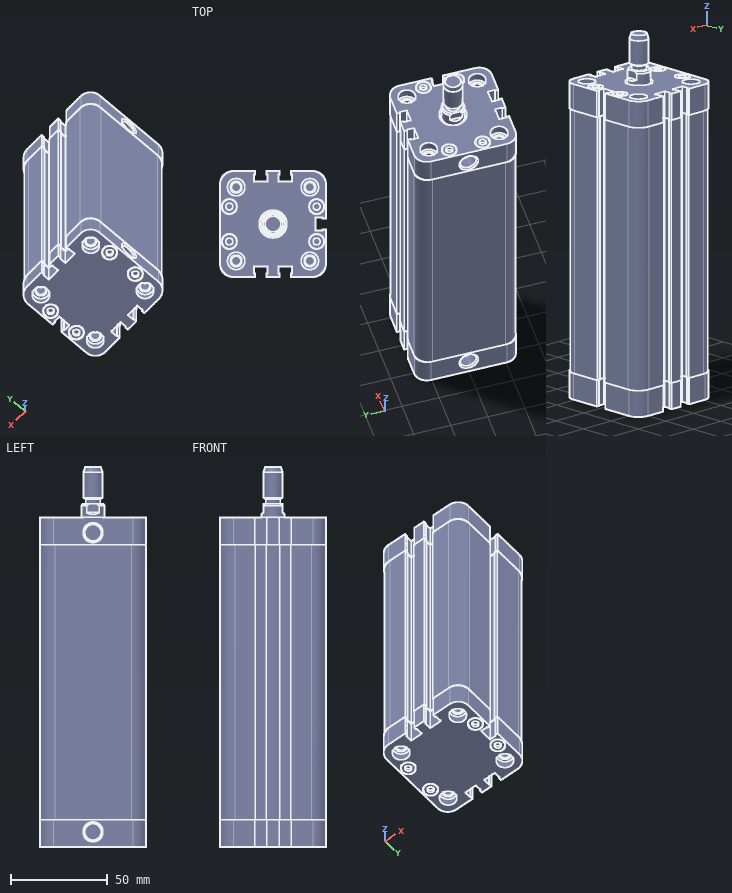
import cadquery as cq


width = 54.8
body_length = 170.0
rod_projection = 26.0
cap_height = 14.2
barrel_length = body_length - 2 * cap_height
barrel_corner_radius = 7.7
cap_corner_radius = 6.9

slot_spacing = 12.7
slot_opening = 5.6
slot_inner_width = 6.6
slot_lip = 2.0
slot_depth = 5.3
cap_slot_clearance = 0.25

mount_pitch = 38.0
mount_counterbore_diameter = 9.0
mount_counterbore_depth = 5.0
mount_hole_diameter = 4.92
mount_chamfer_diameter = 6.0

screw_x = 22.5
screw_y = 9.0
screw_head_diameter = 7.5
screw_recess_diameter = 7.9
screw_groove_depth = 1.0
screw_socket_diameter = 3.6
screw_socket_depth = 2.0

port_diameter = 8.57
port_mouth_diameter = 10.2
port_floor_diameter = 40.0
port_inset = 7.9

rod_diameter = 12.0
rod_shoulder_diameter = 10.8
rod_shoulder_chamfer = 1.1
rod_shoulder_height = 7.0
neck_diameter = 7.5
neck_top_height = 9.4
thread_diameter = 10.0
thread_start_height = 10.2
thread_end_height = 23.3
tip_diameter = 8.2
flat_width = 10.0
flat_end_height = 2.6

wiper_mouth_diameter = 14.4
wiper_floor_diameter = 12.54
wiper_depth = 1.5


def cone(large_diameter, small_diameter, height):
    """Cone frustum hanging down from Z = 0, with its large end at the top."""
    return (
        cq.Workplane("XY")
        .circle(large_diameter / 2)
        .workplane(offset=-height)
        .circle(small_diameter / 2)
        .loft()
    )


def t_slot(length, clearance):
    """T-slot cutter that opens on the +Y side at X = 0 and runs up from Z = 0."""
    face = width / 2
    half_opening = slot_opening / 2 + clearance
    half_inner = slot_inner_width / 2 + clearance
    lip = slot_lip - clearance
    depth = slot_depth + clearance
    opening = (
        cq.Workplane("XY")
        .rect(2 * half_opening, 2 * lip)
        .extrude(length)
        .translate((0, face, 0))
    )
    inner = (
        cq.Workplane("XY")
        .rect(2 * half_inner, depth - lip)
        .extrude(length)
        .translate((0, face - (lip + depth) / 2, 0))
    )
    return opening.union(inner)


def slotted_block(length, corner_radius, slot_clearance):
    """Rounded square block standing on Z = 0, with the five T-slots along it."""
    block = cq.Workplane("XY").rect(width, width).extrude(length).edges("|Z").fillet(corner_radius)
    slot = t_slot(length, slot_clearance)
    for side in (-1, 1):
        side_slot = slot.translate((side * slot_spacing / 2, 0, 0))
        block = block.cut(side_slot)
        block = block.cut(side_slot.mirror("XZ"))
    return block.cut(slot.rotate((0, 0, 0), (0, 0, 1), -90))


def mounting_hole():
    """Cutter for a counterbored, chamfered hole through a cap, with its mouth at Z = 0."""
    chamfer_height = (mount_chamfer_diameter - mount_hole_diameter) / 2
    counterbore = cq.Workplane("XY").circle(mount_counterbore_diameter / 2).extrude(-mount_counterbore_depth)
    bore = cq.Workplane("XY").circle(mount_hole_diameter / 2).extrude(-cap_height)
    chamfer = cone(mount_chamfer_diameter, mount_hole_diameter, chamfer_height)
    return counterbore.union(bore).union(chamfer.translate((0, 0, -mount_counterbore_depth)))


def screw_head():
    """Cutter for the ring groove and the socket of a flush screw head, with its top at Z = 0."""
    groove = (
        cq.Workplane("XY")
        .circle(screw_recess_diameter / 2)
        .circle(screw_head_diameter / 2)
        .extrude(-screw_groove_depth)
    )
    socket = cq.Workplane("XY").circle(screw_socket_diameter / 2).extrude(-screw_socket_depth)
    return groove.union(socket)


def port():
    """Cutter for an air port with a chamfered mouth, entering from the -X side at Z = 0."""
    bore = cq.Workplane("XY").circle(port_diameter / 2).extrude(-width / 2)
    mouth = cone(port_mouth_diameter, port_diameter, (port_mouth_diameter - port_diameter) / 2)
    cutter = bore.union(mouth).rotate((0, 0, 0), (0, 1, 0), -90).translate((-width / 2, 0, 0))
    core = cq.Workplane("XY").circle(port_floor_diameter / 2).extrude(port_mouth_diameter, both=True)
    return cutter.cut(core)


def plain_cap():
    """End cap standing on Z = 0 with its end face up, without a rod hole."""
    cap = slotted_block(cap_height, cap_corner_radius, cap_slot_clearance)
    for x_side in (-1, 1):
        for y_side in (-1, 1):
            mount_place = (x_side * mount_pitch / 2, y_side * mount_pitch / 2, cap_height)
            screw_place = (x_side * screw_x, y_side * screw_y, cap_height)
            cap = cap.cut(mounting_hole().translate(mount_place))
            cap = cap.cut(screw_head().translate(screw_place))
    return cap.cut(port().translate((0, 0, cap_height - port_inset)))


def make_rear_cap():
    """Rear cap: the plain cap turned over, with its end face at Z = 0."""
    return plain_cap().mirror("XY").translate((0, 0, cap_height))


def make_barrel():
    """Slotted barrel between the two caps."""
    barrel = slotted_block(barrel_length, barrel_corner_radius, 0)
    return barrel.translate((0, 0, cap_height))


def make_front_cap():
    """Front cap with the rod hole and the tapered wiper recess around it."""
    rod_hole = cq.Workplane("XY").circle(rod_diameter / 2).extrude(cap_height)
    wiper = cone(wiper_mouth_diameter, wiper_floor_diameter, wiper_depth)
    cap = plain_cap().cut(rod_hole).cut(wiper.translate((0, 0, cap_height)))
    return cap.translate((0, 0, body_length - cap_height))


def make_piston_rod():
    """Piston rod, standing on the barrel and passing through the front cap."""
    rod_radius = rod_diameter / 2
    thread_radius = thread_diameter / 2
    neck_radius = neck_diameter / 2
    rod = (
        cq.Workplane("XZ")
        .moveTo(0, -cap_height)
        .lineTo(rod_radius, -cap_height)
        .lineTo(rod_radius, rod_shoulder_height - rod_shoulder_chamfer)
        .lineTo(rod_shoulder_diameter / 2, rod_shoulder_height)
        .lineTo(neck_radius, rod_shoulder_height)
        .lineTo(neck_radius, neck_top_height)
        .lineTo(thread_radius, thread_start_height)
        .lineTo(thread_radius, thread_end_height)
        .lineTo(tip_diameter / 2, rod_projection)
        .lineTo(0, rod_projection)
        .close()
        .revolve(360, (0, 0), (0, 1))
    )

    flat_x = flat_width / 2
    flat_cut_depth = rod_radius - flat_x
    flat = (
        cq.Workplane("XZ")
        .moveTo(flat_x, flat_end_height)
        .lineTo(rod_radius, flat_end_height - flat_cut_depth)
        .lineTo(rod_radius, rod_shoulder_height)
        .lineTo(flat_x, rod_shoulder_height)
        .close()
        .extrude(rod_radius, both=True)
    )
    rod = rod.cut(flat).cut(flat.mirror("YZ"))
    return rod.translate((0, 0, body_length))


rear_cap = make_rear_cap()
barrel = make_barrel()
front_cap = make_front_cap()
piston_rod = make_piston_rod()

result = cq.Compound.makeCompound([rear_cap.val(), barrel.val(), front_cap.val(), piston_rod.val()])